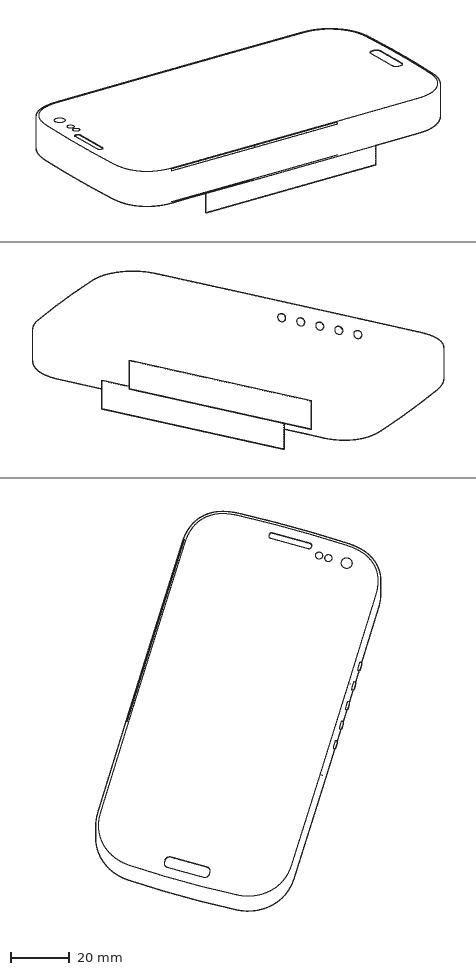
import cadquery as cq

HALF_WIDTH = 35.0
HALF_LENGTH = 67.62
THICKNESS = 13.0
TOP_FILLET = 0.5
BOTTOM_FILLET = 1.0

BOTTOM_CORNER = [(19.35, -67.2), (24.6, -66.4), (29.1, -64.3), (33.85, -58.0), (34.87, -52.7)]
TOP_CORNER = [(19.35, 67.1), (27.6, 64.4), (31.9, 60.3), (34.3, 55.2), (34.9, 50.7)]

RIM_WIDTH = 0.5
GLASS_INSET = TOP_FILLET + RIM_WIDTH
GLASS_THICKNESS = 1.0
GLASS_BOTTOM = THICKNESS - GLASS_THICKNESS

HOME_CENTER = (0.0, 61.2)
HOME_WIDTH = 15.9
HOME_LENGTH = 4.0
HOME_CORNER_RADIUS = 1.6
HOME_EDGE_FILLET = 0.4

EARPIECE_CENTER = (-0.4, -62.4)
EARPIECE_WIDTH = 15.0
EARPIECE_LENGTH = 2.1
EARPIECE_CORNER_RADIUS = 0.8
EARPIECE_EDGE_FILLET = 0.5

WINDOW_Y = -60.0
CAMERA_X = -21.1
CAMERA_DIAMETER = 3.8
SENSOR_X = (-14.6, -11.3)
SENSOR_DIAMETER = 2.5

BUTTON_COUNT = 5
BUTTON_DIAMETER = 2.9
BUTTON_EDGE_FILLET = 0.4
BUTTON_PROUD = 0.71
BUTTON_PITCH = 7.4
BUTTON_FIRST_Y = -27.5
BUTTON_Z = 6.6

BLADE_X = (8.5, 27.8)
BLADE_THICKNESS = 0.4
BLADE_LENGTH = 70.8
BLADE_CENTER_Y = 1.9
BLADE_HEIGHT = 10.57

ROOT_DEPTH = 1.0


def end_arc(corner, end_y):
    """Shallow arc across one end of the phone, between its two corners."""
    x, y = corner[0]
    return cq.Edge.makeThreePointArc(cq.Vector(-x, y), cq.Vector(0, end_y), cq.Vector(x, y))


def corner_arcs(end, corner):
    """Arcs round one +X corner, each tangent to the one before it."""
    arcs = []
    previous = end
    for start, finish in zip(corner, corner[1:]):
        arc = cq.Edge.makeTangentArc(cq.Vector(*start), previous.tangentAt(1), cq.Vector(*finish))
        arcs.append(arc)
        previous = arc
    return arcs


def make_outline():
    """Outline of the phone, mirrored about the YZ plane."""
    bottom_end = end_arc(BOTTOM_CORNER, -HALF_LENGTH)
    top_end = end_arc(TOP_CORNER, HALF_LENGTH)
    side = cq.Edge.makeThreePointArc(
        cq.Vector(*BOTTOM_CORNER[-1]), cq.Vector(HALF_WIDTH, 0), cq.Vector(*TOP_CORNER[-1])
    )
    right = corner_arcs(bottom_end, BOTTOM_CORNER) + [side] + corner_arcs(top_end, TOP_CORNER)
    left = [edge.mirror("YZ") for edge in right]
    return cq.Wire.assembleEdges([bottom_end, top_end] + right + left)


def make_slab():
    slab = cq.Workplane("XY").add(make_outline()).toPending().extrude(THICKNESS)
    slab = slab.faces("<Z").edges().fillet(BOTTOM_FILLET)
    return slab.faces(">Z").edges().fillet(TOP_FILLET)


def make_glass_blank():
    """Glass plate before its openings are cut."""
    outline = cq.Workplane("XY").add(make_outline()).toPending()
    plate = outline.offset2D(-GLASS_INSET).extrude(GLASS_THICKNESS)
    return plate.translate((0, 0, GLASS_BOTTOM))


def glass_plane(center):
    return cq.Workplane("XY", origin=(center[0], center[1], GLASS_BOTTOM))


def make_bar(center, width, length, corner_radius):
    """Round-cornered bar as thick as the glass; it is also the shape of its opening."""
    bar = glass_plane(center).rect(width, length).extrude(GLASS_THICKNESS)
    return bar.edges("|Z").fillet(corner_radius)


def make_window(x, diameter):
    return glass_plane((x, WINDOW_Y)).circle(diameter / 2).extrude(GLASS_THICKNESS)


def make_button(y):
    root_x = -HALF_WIDTH + ROOT_DEPTH
    button = cq.Workplane("YZ", origin=(root_x, y, BUTTON_Z)).circle(BUTTON_DIAMETER / 2)
    button = button.extrude(-(ROOT_DEPTH + BUTTON_PROUD))
    return button.faces("<X").edges().fillet(BUTTON_EDGE_FILLET)


def make_blade(x):
    blade = cq.Workplane("XY", origin=(x, BLADE_CENTER_Y, ROOT_DEPTH))
    return blade.rect(BLADE_THICKNESS, BLADE_LENGTH).extrude(-(ROOT_DEPTH + BLADE_HEIGHT))


home_blank = make_bar(HOME_CENTER, HOME_WIDTH, HOME_LENGTH, HOME_CORNER_RADIUS)
home_key = home_blank.faces(">Z").edges().fillet(HOME_EDGE_FILLET)
earpiece_blank = make_bar(EARPIECE_CENTER, EARPIECE_WIDTH, EARPIECE_LENGTH, EARPIECE_CORNER_RADIUS)
earpiece = earpiece_blank.faces(">Z").edges().fillet(EARPIECE_EDGE_FILLET)
camera_window = make_window(CAMERA_X, CAMERA_DIAMETER)
sensor_windows = [make_window(x, SENSOR_DIAMETER) for x in SENSOR_X]

glass_blank = make_glass_blank()
glass = glass_blank
for opening in [home_blank, earpiece_blank, camera_window, *sensor_windows]:
    glass = glass.cut(opening)

housing = make_slab().cut(glass_blank)
for index in range(BUTTON_COUNT):
    housing = housing.union(make_button(BUTTON_FIRST_Y + index * BUTTON_PITCH))
for blade_x in BLADE_X:
    housing = housing.union(make_blade(blade_x))

bodies = [housing, glass, home_key, earpiece, camera_window, *sensor_windows]
result = cq.Compound.makeCompound([body.val() for body in bodies])